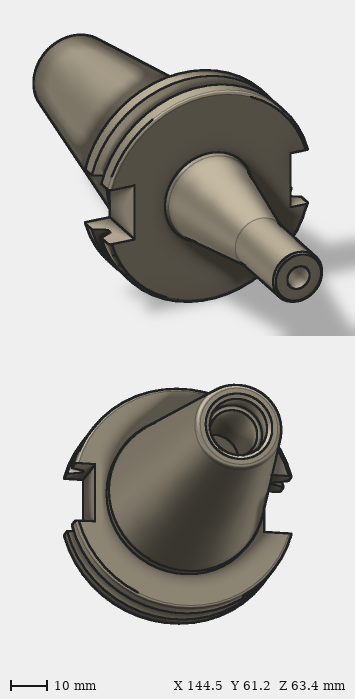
import cadquery as cq
import math

total_length = 144.5
taper_end_x = 68.0
relief_start_x = 68.4
flange_start_x = 71.5
flange_end_x = 87.5
neck_start_x = 88.6
shank_start_x = 120.0

taper_ratio = 7 / 24
taper_large_radius = 22.0
taper_small_radius = taper_large_radius - taper_end_x * taper_ratio / 2
taper_end_round = 1.3
relief_radius = 21.8

flange_radius = 31.7
flange_edge_round = 0.9
groove_floor_radius = 28.0
groove_center_x = 79.5
groove_mouth_width = 6.0
groove_floor_width = 1.7

slot_width = 16.5
slot_floor_positive_y = 25.0
slot_floor_negative_y = 22.7

neck_collar_radius = 13.5
neck_large_radius = 12.9
shank_radius = 7.5
shank_end_chamfer = 0.6

through_diameter = 6.8
thread_diameter = 13.5
thread_depth = 31.8
counterbore_diameter = 16.2
counterbore_depth = 7.2
mouth_diameter = 18.8
mouth_angle = 60.0


def make_taper():
    taper = (
        cq.Workplane("XY")
        .moveTo(0, 0)
        .lineTo(0, taper_small_radius)
        .lineTo(taper_end_x, taper_large_radius)
        .lineTo(relief_start_x, relief_radius)
        .lineTo(flange_start_x, relief_radius)
        .lineTo(flange_start_x, 0)
        .close()
        .revolve(360, (0, 0, 0), (1, 0, 0))
    )
    return taper.faces("<X").edges().fillet(taper_end_round)


def make_flange():
    width = flange_end_x - flange_start_x
    disc = cq.Workplane("YZ", origin=(flange_start_x, 0, 0)).circle(flange_radius).extrude(width)
    disc = disc.faces("<X or >X").edges().fillet(flange_edge_round)
    groove = (
        cq.Workplane("XY")
        .moveTo(groove_center_x - groove_mouth_width / 2, flange_radius)
        .lineTo(groove_center_x - groove_floor_width / 2, groove_floor_radius)
        .lineTo(groove_center_x + groove_floor_width / 2, groove_floor_radius)
        .lineTo(groove_center_x + groove_mouth_width / 2, flange_radius)
        .close()
        .revolve(360, (0, 0, 0), (1, 0, 0))
    )
    flange = disc.cut(groove)
    for side, floor_y in ((1, slot_floor_positive_y), (-1, slot_floor_negative_y)):
        slot_depth = flange_radius - floor_y
        slot_center_y = side * (floor_y + slot_depth / 2)
        slot = cq.Workplane("XY").box(width, slot_depth, slot_width)
        flange = flange.cut(slot.translate((flange_start_x + width / 2, slot_center_y, 0)))
    return flange


def make_neck_and_shank():
    neck = (
        cq.Workplane("XY")
        .moveTo(flange_end_x, 0)
        .lineTo(flange_end_x, neck_collar_radius)
        .lineTo(neck_start_x, neck_large_radius)
        .lineTo(shank_start_x, shank_radius)
        .lineTo(total_length, shank_radius)
        .lineTo(total_length, 0)
        .close()
        .revolve(360, (0, 0, 0), (1, 0, 0))
    )
    return neck.faces(">X").edges().chamfer(shank_end_chamfer)


def make_bore():
    mouth_depth = (mouth_diameter - counterbore_diameter) / 2 / math.tan(math.radians(mouth_angle))
    return (
        cq.Workplane("XY")
        .moveTo(0, 0)
        .lineTo(0, mouth_diameter / 2)
        .lineTo(mouth_depth, counterbore_diameter / 2)
        .lineTo(counterbore_depth, counterbore_diameter / 2)
        .lineTo(counterbore_depth, thread_diameter / 2)
        .lineTo(thread_depth, thread_diameter / 2)
        .lineTo(thread_depth, through_diameter / 2)
        .lineTo(total_length, through_diameter / 2)
        .lineTo(total_length, 0)
        .close()
        .revolve(360, (0, 0, 0), (1, 0, 0))
    )


result = make_taper().union(make_flange()).union(make_neck_and_shank()).cut(make_bore())